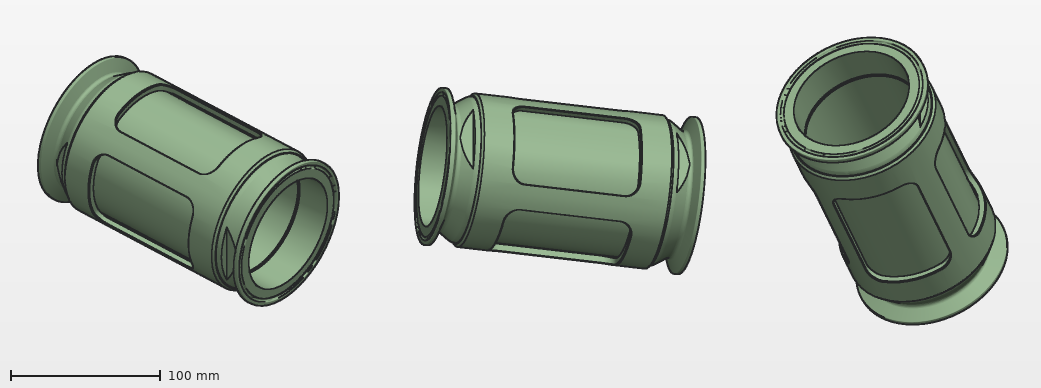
import cadquery as cq
import math


LENGTH = 175.0
BORE_RADIUS = 40.6

FLANGE_RADIUS = 53.0
RIM_WIDTH = 3.0
FLANGE_BACK_ANGLE = 20.0
NECK_RADIUS = 42.7
FLANGE_FILLET = 1.8
CONE_START = 9.1
CONE_ANGLE = 33.5
CONE_FILLET = 2.1
COLLAR_RADIUS = 49.4
COLLAR_FILLET = 5.2
COLLAR_END = 21.4
FERRULE_LENGTH = 24.7
RIM_FILLET = 0.5
FLAT_END = 17.5

GROOVE_RADIUS = 48.8
GROOVE_WIDTH = 2.5
GROOVE_DEPTH = 1.4
GROOVE_FILLET = 0.5

HOUSING_RADIUS = 51.8
HOUSING_BORE_RADIUS = 47.0
HOUSING_LENGTH = LENGTH - 2 * COLLAR_END
HOUSING_CHAMFER = 1.8
WINDOW_LENGTH = 86.8
WINDOW_WIDTH = 58.6
WINDOW_CORNER_RADIUS = 9.1
WINDOW_CHAMFER = 0.7
WINDOW_TURNS = (0, 90)

SEAL_THICKNESS = 1.4
SEAL_INNER_RADIUS = 41.1
GLASS_RADIUS = 46.0
GLASS_LENGTH = LENGTH - 2 * (FERRULE_LENGTH + SEAL_THICKNESS)


def tube(outer_radius, inner_radius, length, start):
    """Plain tube along X from the given place."""
    return (
        cq.Workplane("YZ", origin=(start, 0, 0))
        .circle(outer_radius)
        .circle(inner_radius)
        .extrude(length)
    )


def circle_edges(body, place, radius):
    """Circular edges of the body about X at an axial place and radius."""
    tolerance = 0.002
    edges = [
        edge
        for edge in body.edges("%CIRCLE").vals()
        if abs(edge.Center().x - place) < tolerance and abs(edge.radius() - radius) < tolerance
    ]
    return body.newObject(edges)


def ferrule_at_origin():
    """Ferrule with its clamp face at X = 0 and its inner end plugged into the housing bore."""
    flange_back = RIM_WIDTH + (FLANGE_RADIUS - NECK_RADIUS) * math.tan(math.radians(FLANGE_BACK_ANGLE))
    cone_end = CONE_START + (COLLAR_RADIUS - NECK_RADIUS) / math.tan(math.radians(CONE_ANGLE))
    body = (
        cq.Workplane("XY")
        .moveTo(0, BORE_RADIUS)
        .lineTo(0, FLANGE_RADIUS)
        .lineTo(RIM_WIDTH, FLANGE_RADIUS)
        .lineTo(flange_back, NECK_RADIUS)
        .lineTo(CONE_START, NECK_RADIUS)
        .lineTo(cone_end, COLLAR_RADIUS)
        .lineTo(COLLAR_END, COLLAR_RADIUS)
        .lineTo(COLLAR_END, HOUSING_BORE_RADIUS)
        .lineTo(FERRULE_LENGTH, HOUSING_BORE_RADIUS)
        .lineTo(FERRULE_LENGTH, BORE_RADIUS)
        .close()
        .revolve(360, (0, 0, 0), (1, 0, 0))
    )
    body = circle_edges(body, 0, FLANGE_RADIUS).fillet(RIM_FILLET)
    body = circle_edges(body, RIM_WIDTH, FLANGE_RADIUS).fillet(RIM_FILLET)
    body = circle_edges(body, flange_back, NECK_RADIUS).fillet(FLANGE_FILLET)
    body = circle_edges(body, CONE_START, NECK_RADIUS).fillet(CONE_FILLET)
    body = circle_edges(body, cone_end, COLLAR_RADIUS).fillet(COLLAR_FILLET)
    return cut_wrench_flats(cut_face_groove(body))


def cut_face_groove(body):
    """Round-bottomed gasket groove in the clamp face, with rounded rims."""
    inner_radius = GROOVE_RADIUS - GROOVE_WIDTH / 2
    outer_radius = GROOVE_RADIUS + GROOVE_WIDTH / 2
    groove = (
        cq.Workplane("XY")
        .moveTo(0, inner_radius)
        .threePointArc((GROOVE_DEPTH, GROOVE_RADIUS), (0, outer_radius))
        .close()
        .revolve(360, (0, 0, 0), (1, 0, 0))
    )
    body = body.cut(groove)
    for radius in (inner_radius, outer_radius):
        body = circle_edges(body, 0, radius).fillet(GROOVE_FILLET)
    return body


def cut_wrench_flats(body):
    """Two wrench flats facing -Y and +Y, level with the neck, from where its cone fillet begins."""
    flat_start = CONE_START - CONE_FILLET * math.tan(math.radians(CONE_ANGLE / 2))
    flat_length = FLAT_END - flat_start
    for side in (-1, 1):
        cutter = cq.Workplane("XY").box(
            flat_length, FLANGE_RADIUS, 2 * FLANGE_RADIUS, centered=(False, True, True)
        )
        body = body.cut(cutter.translate((flat_start, side * (NECK_RADIUS + FLANGE_RADIUS / 2), 0)))
    return body


def make_ferrules():
    """The same ferrule at both ends, facing outward."""
    left = ferrule_at_origin().translate((-LENGTH / 2, 0, 0))
    return [left, left.mirror("YZ")]


def window_cutter():
    """Rounded rectangular bar that passes through the housing along Z."""
    return (
        cq.Workplane("XY")
        .rect(WINDOW_LENGTH, WINDOW_WIDTH)
        .extrude(FLANGE_RADIUS, both=True)
        .edges("|Z")
        .fillet(WINDOW_CORNER_RADIUS)
    )


def make_housing():
    """Sleeve with chamfered ends and four chamfered windows facing -Y, +Y, -Z and +Z."""
    sleeve = tube(HOUSING_RADIUS, HOUSING_BORE_RADIUS, HOUSING_LENGTH, -HOUSING_LENGTH / 2)
    for end in (-HOUSING_LENGTH / 2, HOUSING_LENGTH / 2):
        sleeve = circle_edges(sleeve, end, HOUSING_RADIUS).chamfer(HOUSING_CHAMFER)
    for angle in WINDOW_TURNS:
        sleeve = sleeve.cut(window_cutter().rotate((0, 0, 0), (1, 0, 0), angle))
    return chamfer_window_rims(sleeve)


def chamfer_window_rims(sleeve):
    """Chamfer where the windows break through the outer surface."""
    middle_radius = (HOUSING_RADIUS + HOUSING_BORE_RADIUS) / 2
    middle_length = (HOUSING_LENGTH + WINDOW_LENGTH) / 4
    rims = [
        edge
        for edge in sleeve.faces("%CYLINDER").edges().vals()
        if abs(edge.startPoint().x) < middle_length
        and min(math.hypot(p.y, p.z) for p in (edge.startPoint(), edge.endPoint())) > middle_radius
    ]
    return sleeve.newObject(rims).chamfer(WINDOW_CHAMFER)


def make_glass():
    """Glass tube held between the two sealing rings."""
    return tube(GLASS_RADIUS, BORE_RADIUS, GLASS_LENGTH, -GLASS_LENGTH / 2)


def make_seals():
    """A sealing ring between each ferrule and the glass."""
    starts = (-GLASS_LENGTH / 2 - SEAL_THICKNESS, GLASS_LENGTH / 2)
    return [tube(HOUSING_BORE_RADIUS, SEAL_INNER_RADIUS, SEAL_THICKNESS, start) for start in starts]


housing = make_housing()
glass = make_glass()
ferrules = make_ferrules()
seals = make_seals()

result = cq.Compound.makeCompound(
    [body.val() for body in [housing, glass, *ferrules, *seals]]
)